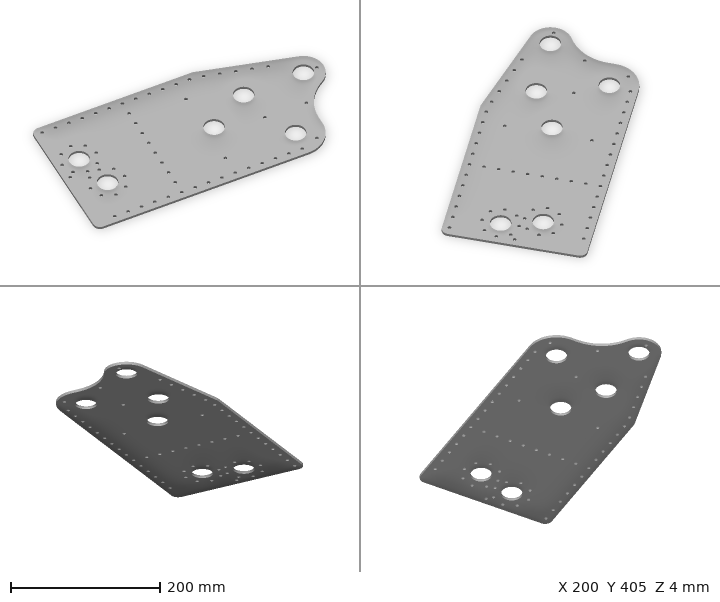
import cadquery as cq
import math

WIDTH = 200.0
LENGTH = 405
THICKNESS = 4.0
HALF_WIDTH = WIDTH / 2
CORNER_RADIUS = 10.0

TOP_LOBE_RADIUS = 30.0
TOP_LOBE_X = -34.5
TOP_LOBE_Y = LENGTH - TOP_LOBE_RADIUS
SIDE_LOBE_RADIUS = 40.0
SIDE_LOBE_X = HALF_WIDTH - SIDE_LOBE_RADIUS
SIDE_LOBE_Y = 317.2
HOLLOW_RADIUS = 67.0

SLANT_START_Y = 242.0

LARGE_HOLE_DIAMETER = 28.8
SMALL_HOLE_DIAMETER = 5.0
CROSS_ROW_COUNT = 10
PITCH = WIDTH / CROSS_ROW_COUNT
EDGE_MARGIN = PITCH / 2
FIRST_ROW_Y = 12
LEFT_COLUMN_ROWS = range(0, 12)
RIGHT_COLUMN_ROWS = range(1, 16)
CROSS_ROW = 6
SLANT_FIRST_DISTANCE = 13.0
SLANT_HOLE_COUNT = 5
SLANT_ROW_LENGTH = 88.5
SLANT_PITCH = SLANT_ROW_LENGTH / (SLANT_HOLE_COUNT - 1)
BOLT_CIRCLE_RADIUS = 25.5
BOLT_COUNT = 8
BOLT_CIRCLE_CENTRES = [(-25.0, 35.5), (30.0, 51.0)]
INNER_LARGE_HOLES = [(-33.2, 285.2), (2.5, 223.5)]
INNER_PAIR_ROW = 10
INNER_SINGLE_HOLE = (16.5, 292.5)
BOTTOM_CENTRE_HOLE = (0, 10.0)
HOLLOW_HOLE = (17.5, 354.0)


def point_at(centre, radius, angle):
    """Point on a circle, with the angle in radians from +X."""
    return (centre[0] + radius * math.cos(angle), centre[1] + radius * math.sin(angle))


top_lobe = (TOP_LOBE_X, TOP_LOBE_Y)
side_lobe = (SIDE_LOBE_X, SIDE_LOBE_Y)
slant_start = (-HALF_WIDTH, SLANT_START_Y)
to_lobe_x = TOP_LOBE_X + HALF_WIDTH
to_lobe_y = TOP_LOBE_Y - SLANT_START_Y
slant_angle = math.atan2(to_lobe_y, to_lobe_x) + math.asin(
    TOP_LOBE_RADIUS / math.hypot(to_lobe_x, to_lobe_y)
)
slant_normal = slant_angle + math.pi / 2
slant_end = point_at(top_lobe, TOP_LOBE_RADIUS, slant_normal)

level_y = SIDE_LOBE_Y + SIDE_LOBE_RADIUS
hollow_y = level_y + HOLLOW_RADIUS
centre_distance = TOP_LOBE_RADIUS + HOLLOW_RADIUS
hollow_angle = math.asin((hollow_y - TOP_LOBE_Y) / centre_distance)
hollow = point_at(top_lobe, centre_distance, hollow_angle)
hollow_start = point_at(top_lobe, TOP_LOBE_RADIUS, hollow_angle)
hollow_middle_angle = (hollow_angle - math.pi - math.pi / 2) / 2
hollow_middle = point_at(hollow, HOLLOW_RADIUS, hollow_middle_angle)


def make_plate():
    outline = (
        cq.Workplane("XY")
        .moveTo(-HALF_WIDTH, 0)
        .lineTo(*slant_start)
        .lineTo(*slant_end)
        .threePointArc((TOP_LOBE_X, LENGTH), hollow_start)
        .threePointArc(hollow_middle, (hollow[0], level_y))
        .lineTo(SIDE_LOBE_X, level_y)
        .threePointArc(point_at(side_lobe, SIDE_LOBE_RADIUS, math.pi / 4), (HALF_WIDTH, SIDE_LOBE_Y))
        .lineTo(HALF_WIDTH, 0)
        .close()
    )
    plate = outline.extrude(THICKNESS)
    for x, y in [(-HALF_WIDTH, 0), (HALF_WIDTH, 0), slant_start]:
        corner = cq.selectors.NearestToPointSelector((x, y, THICKNESS / 2))
        plate = plate.edges("|Z").edges(corner).fillet(CORNER_RADIUS)
    return plate


def row_y(row):
    return FIRST_ROW_Y + row * PITCH


def grid_holes():
    """Columns along both sides and the row across the plate, on one pitch."""
    column_x = HALF_WIDTH - EDGE_MARGIN
    left = [(-column_x, row_y(row)) for row in LEFT_COLUMN_ROWS]
    right = [(column_x, row_y(row)) for row in RIGHT_COLUMN_ROWS]
    across = [(i * PITCH - column_x, row_y(CROSS_ROW)) for i in range(1, CROSS_ROW_COUNT - 1)]
    return left + right + across


def slant_holes():
    """Row beside the slanted edge."""
    points = []
    for i in range(SLANT_HOLE_COUNT):
        edge_point = point_at(slant_start, SLANT_FIRST_DISTANCE + i * SLANT_PITCH, slant_angle)
        points.append(point_at(edge_point, -EDGE_MARGIN, slant_normal))
    return points


def bolt_circle(centre):
    step = 2 * math.pi / BOLT_COUNT
    return [point_at(centre, BOLT_CIRCLE_RADIUS, i * step) for i in range(BOLT_COUNT)]


def single_holes():
    return [
        point_at(top_lobe, TOP_LOBE_RADIUS - EDGE_MARGIN, math.pi / 2),
        point_at(side_lobe, SIDE_LOBE_RADIUS - EDGE_MARGIN, math.pi / 4),
        (-SIDE_LOBE_X, row_y(INNER_PAIR_ROW)),
        (SIDE_LOBE_X, row_y(INNER_PAIR_ROW)),
        HOLLOW_HOLE,
        INNER_SINGLE_HOLE,
        BOTTOM_CENTRE_HOLE,
    ]


def cut_holes(plate, points, diameter):
    cutters = cq.Workplane("XY").pushPoints(points).circle(diameter / 2).extrude(THICKNESS)
    return plate.cut(cutters)


large_holes = [top_lobe, side_lobe] + INNER_LARGE_HOLES + BOLT_CIRCLE_CENTRES
small_holes = grid_holes() + slant_holes() + single_holes()
for bolt_centre in BOLT_CIRCLE_CENTRES:
    small_holes += bolt_circle(bolt_centre)

result = cut_holes(make_plate(), large_holes, LARGE_HOLE_DIAMETER)
result = cut_holes(result, small_holes, SMALL_HOLE_DIAMETER)